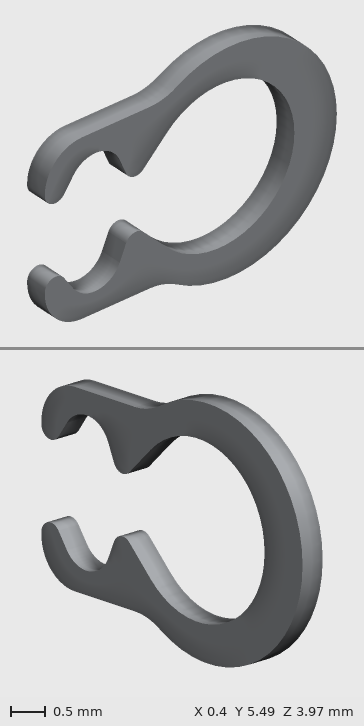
import cadquery as cq
import math

thickness = 0.4
length = 5.49
outer_height = 3.97
ring_radius = outer_height / 2
bore_radius = 1.4
bore_offset = 0.215
arm_half_height = 1.56
neck_radius = 1.0
arm_end_radius = 0.7
lobe_radius = 0.2
notch_radius = 0.5

ring_center = (0.0, 0.0)
bore_center = (-bore_offset, 0.0)
notch_center = (-2.56, 0.685)
inner_lobe_center = (-1.795, 0.675)
end_y = ring_radius - length
tip_lobe_center = (end_y + lobe_radius, 0.83)
arm_end_center = (end_y + arm_end_radius, arm_half_height - arm_end_radius)
neck_center_z = arm_half_height + neck_radius
neck_center = (-math.sqrt((ring_radius + neck_radius) ** 2 - neck_center_z**2), neck_center_z)


def point_on_circle(center, radius, angle):
    return (center[0] + radius * math.cos(angle), center[1] + radius * math.sin(angle))


def crossing_tangent(center_a, radius_a, center_b, radius_b, side):
    """Touch points of the tangent that passes between two circles.

    Side +1 touches circle A counterclockwise of the line of centres, -1 clockwise.
    """
    dy = center_b[0] - center_a[0]
    dz = center_b[1] - center_a[1]
    spread = math.acos((radius_a + radius_b) / math.hypot(dy, dz))
    angle = math.atan2(dz, dy) + side * spread
    touch_a = point_on_circle(center_a, radius_a, angle)
    touch_b = point_on_circle(center_b, radius_b, angle + math.pi)
    return touch_a, touch_b


def toward(center, radius, target):
    """Point on a circle in the direction of a target point."""
    angle = math.atan2(target[1] - center[1], target[0] - center[0])
    return point_on_circle(center, radius, angle)


def arc_middle(center, radius, start, end):
    """Middle of the shorter arc between two points of a circle."""
    chord_middle = ((start[0] + end[0]) / 2, (start[1] + end[1]) / 2)
    return toward(center, radius, chord_middle)


ring_to_neck = toward(ring_center, ring_radius, neck_center)
neck_to_arm = (neck_center[0], arm_half_height)
arm_to_end = (arm_end_center[0], arm_half_height)
end_to_edge = (end_y, arm_end_center[1])
edge_to_tip = (end_y, tip_lobe_center[1])
notch_outer, tip_inner = crossing_tangent(
    notch_center, notch_radius, tip_lobe_center, lobe_radius, -1
)
notch_inner, lobe_outer = crossing_tangent(
    notch_center, notch_radius, inner_lobe_center, lobe_radius, 1
)
bore_end, lobe_inner = crossing_tangent(
    bore_center, bore_radius, inner_lobe_center, lobe_radius, -1
)
tip_bottom = (tip_lobe_center[0], tip_lobe_center[1] - lobe_radius)
lobe_bottom = (inner_lobe_center[0], inner_lobe_center[1] - lobe_radius)
notch_top = (notch_center[0], notch_center[1] + notch_radius)

neck_middle = arc_middle(neck_center, neck_radius, ring_to_neck, neck_to_arm)
end_middle = arc_middle(arm_end_center, arm_end_radius, arm_to_end, end_to_edge)
upper_arm = [
    (neck_middle, neck_to_arm),
    (arm_to_end,),
    (end_middle, end_to_edge),
    (edge_to_tip,),
    (tip_bottom, tip_inner),
    (notch_outer,),
    (notch_top, notch_inner),
    (lobe_outer,),
    (lobe_bottom, lobe_inner),
    (bore_end,),
]


def arm_edges(side):
    """Edges of one arm: side +1 is the upper arm, -1 its mirror image."""
    edges = []
    start = cq.Vector(0, ring_to_neck[0], side * ring_to_neck[1])
    for step in upper_arm:
        points = [start] + [cq.Vector(0, y, side * z) for y, z in step]
        if len(points) == 3:
            edges.append(cq.Edge.makeThreePointArc(*points))
        else:
            edges.append(cq.Edge.makeLine(*points))
        start = points[-1]
    return edges


def back_arc(center, radius, arm_point):
    """Arc around the back of the ring, joining the two arms."""
    return cq.Edge.makeThreePointArc(
        cq.Vector(0, arm_point[0], arm_point[1]),
        cq.Vector(0, center[0] + radius, 0),
        cq.Vector(0, arm_point[0], -arm_point[1]),
    )


ring_arc = back_arc(ring_center, ring_radius, ring_to_neck)
bore_arc = back_arc(bore_center, bore_radius, bore_end)
outline = cq.Wire.assembleEdges(
    arm_edges(1) + [bore_arc] + arm_edges(-1)[::-1] + [ring_arc]
)

result = cq.Workplane("YZ").add(outline).toPending().extrude(thickness)